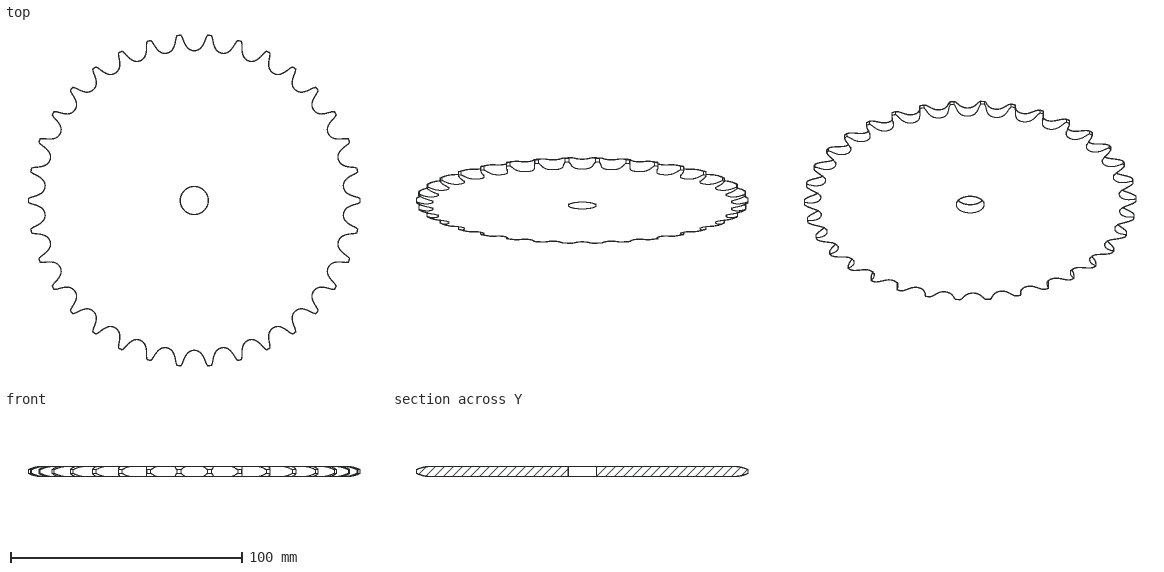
import cadquery as cq
import math

tooth_count = 34
tip_radius = 71.8
pitch_radius = 68.8
roller_diameter = 7.8
seat_clearance = 0.039
thickness = 4.5
shoulder_radius = 65.9
side_radius = 12.6
bore_diameter = 12.0

seat_end_angle = 35 + 60 / tooth_count
working_angle = 18 - 56 / tooth_count
topping_angle = 17 - 64 / tooth_count
topping_sweep = 40
working_offset = 0.8 * roller_diameter
topping_offset = 1.4 * roller_diameter

tooth_step = 360 / tooth_count
seat_radius = 1.005 * roller_diameter / 2 + seat_clearance
working_radius = seat_radius + working_offset
topping_radius = (
    working_offset * math.cos(math.radians(working_angle))
    + topping_offset * math.cos(math.radians(topping_angle))
    - working_radius
)
half_thickness = thickness / 2
lower_face = (0, 0, -half_thickness)
side_run = tip_radius - shoulder_radius


def rounded_drop(run):
    """Axial thinning of one tooth side at a radial distance outside the shoulder."""
    return side_radius - math.sqrt(side_radius**2 - run**2)


def rounded_blank():
    """Solid disc whose rim thins along an arc on both faces."""
    middle_radius = shoulder_radius + side_run / 2
    middle_height = half_thickness - rounded_drop(side_run / 2)
    tip_height = half_thickness - rounded_drop(side_run)
    return (
        cq.Workplane("XZ")
        .moveTo(0, -half_thickness)
        .lineTo(shoulder_radius, -half_thickness)
        .threePointArc((middle_radius, -middle_height), (tip_radius, -tip_height))
        .lineTo(tip_radius, tip_height)
        .threePointArc((middle_radius, middle_height), (shoulder_radius, half_thickness))
        .lineTo(0, half_thickness)
        .close()
        .revolve(360, (0, 0, 0), (0, 1, 0))
    )


def polar(center, radius, angle):
    """Point at a radius and an angle (degrees, from +X) around a center."""
    turn = math.radians(angle)
    return (center[0] + radius * math.cos(turn), center[1] + radius * math.sin(turn))


def mirrored(point):
    """The same point on the other side of the gap axis."""
    return (point[0], -point[1])


def gap_cutter():
    """Tooth gap on the +X axis.

    Each side runs from the roller seat into a concave working arc, a short straight
    and a convex topping arc, all tangent to one another.
    """
    seat_center = (pitch_radius, 0)
    seat_bottom = polar(seat_center, seat_radius, 180)

    seat_end_direction = 90 + seat_end_angle
    working_end_direction = seat_end_direction - working_angle

    working_center = polar(seat_center, working_offset, seat_end_direction - 180)
    seat_end = polar(seat_center, seat_radius, seat_end_direction)
    working_middle = polar(working_center, working_radius, seat_end_direction - working_angle / 2)
    working_end = polar(working_center, working_radius, working_end_direction)

    topping_direction = working_end_direction - 180
    topping_shift = topping_offset * math.sin(math.radians(topping_angle))
    working_shift = working_offset * math.sin(math.radians(working_angle))
    straight_length = topping_shift - working_shift
    straight_end = polar(working_end, straight_length, working_end_direction - 90)
    topping_center = polar(straight_end, topping_radius, working_end_direction)
    topping_middle = polar(topping_center, topping_radius, topping_direction + topping_sweep / 2)
    topping_end = polar(topping_center, topping_radius, topping_direction + topping_sweep)

    return (
        cq.Workplane("XY", origin=lower_face)
        .moveTo(*mirrored(topping_end))
        .threePointArc(mirrored(topping_middle), mirrored(straight_end))
        .lineTo(*mirrored(working_end))
        .threePointArc(mirrored(working_middle), mirrored(seat_end))
        .threePointArc(seat_bottom, seat_end)
        .threePointArc(working_middle, working_end)
        .lineTo(*straight_end)
        .threePointArc(topping_middle, topping_end)
        .close()
        .extrude(thickness)
        .val()
    )


def tooth_gaps():
    """All gaps, turned half a step so that a tooth points along +X."""
    gap = gap_cutter()
    gaps = []
    for index in range(tooth_count):
        angle = (index + 0.5) * tooth_step
        gaps.append(gap.rotate((0, 0, 0), (0, 0, 1), angle))
    return cq.Workplane(cq.Compound.makeCompound(gaps))


bore = cq.Workplane("XY", origin=lower_face).circle(bore_diameter / 2).extrude(thickness)

result = rounded_blank().cut(tooth_gaps()).cut(bore)